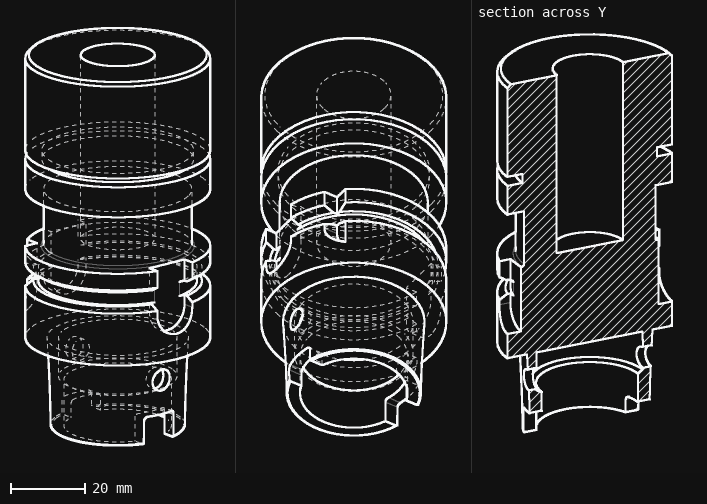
import cadquery as cq
import math


body_radius = 25.0
top_z = 80.0
rim_chamfer = 1.0
head_groove_top_z = 53.0
head_groove_bottom_z = 50.5
head_groove_radius = 20.5
head_bottom_z = 42.0
neck_radius = 20.0
neck_fillet = 0.7
bore_radius = 10.0
bore_depth = 52.0

flange_top_z = 26.0
gripper_groove_z = 18.0
gripper_groove_width = 4.0
gripper_groove_radius = 21.4
gripper_shoulder_radius = 22.75
gripper_flank_angle = 30.0

shank_length = 25.0
shank_top_radius = 19.1
shank_middle_radius = 18.45
shank_end_radius = 18.15
shank_end_chamfer = 0.3

mouth_radius = 14.5
cavity_radius = 16.0
cavity_top_z = 0.0
shoulder_top_z = -11.0
shoulder_angle = 30.0

keyway_width = 12.2
keyway_floor_x = 20.95
keyway_center_z = 13.3
notch_wall = 15.5
notch_width = 12.0
notch_center_z = 13.2

cross_hole_radius = 3.0
cross_hole_z = -7.5
slot_width = 10.3
slot_corner_radius = 1.0
left_slot_top_z = -20.2
right_slot_top_z = -17.3

clearance = 5.0


def make_body():
    """Revolve the outside outline of the head, flange and shank."""
    flank_height = (body_radius - gripper_shoulder_radius) * math.tan(math.radians(gripper_flank_angle))
    groove_top = gripper_groove_z + gripper_groove_width / 2
    groove_bottom = gripper_groove_z - gripper_groove_width / 2
    outline = (
        cq.Workplane("XZ")
        .moveTo(0, -shank_length)
        .lineTo(shank_end_radius - shank_end_chamfer, -shank_length)
        .lineTo(shank_end_radius, -shank_length + shank_end_chamfer)
        .threePointArc((shank_middle_radius, -shank_length / 2), (shank_top_radius, 0))
        .lineTo(body_radius, 0)
        .lineTo(body_radius, groove_bottom - flank_height)
        .lineTo(gripper_shoulder_radius, groove_bottom)
        .lineTo(gripper_groove_radius, groove_bottom)
        .lineTo(gripper_groove_radius, groove_top)
        .lineTo(gripper_shoulder_radius, groove_top)
        .lineTo(body_radius, groove_top + flank_height)
        .lineTo(body_radius, flange_top_z)
        .lineTo(neck_radius + neck_fillet, flange_top_z)
        .radiusArc((neck_radius, flange_top_z + neck_fillet), neck_fillet)
        .lineTo(neck_radius, head_bottom_z)
        .lineTo(body_radius, head_bottom_z)
        .lineTo(body_radius, head_groove_bottom_z)
        .lineTo(head_groove_radius, head_groove_bottom_z)
        .lineTo(head_groove_radius, head_groove_top_z)
        .lineTo(body_radius, head_groove_top_z)
        .lineTo(body_radius, top_z - rim_chamfer)
        .lineTo(body_radius - rim_chamfer, top_z)
        .lineTo(0, top_z)
        .close()
    )
    return outline.revolve(360, (0, 0, 0), (0, 1, 0))


def make_bore():
    """Blind tool bore in the head."""
    return cq.Workplane("XY").workplane(offset=top_z).circle(bore_radius).extrude(-bore_depth)


def make_cavity():
    """Hollow of the shank, wider above the clamping shoulder."""
    shoulder_height = (cavity_radius - mouth_radius) * math.tan(math.radians(shoulder_angle))
    outline = [
        (0, -shank_length),
        (mouth_radius, -shank_length),
        (mouth_radius, shoulder_top_z - shoulder_height),
        (cavity_radius, shoulder_top_z),
        (cavity_radius, cavity_top_z),
        (0, cavity_top_z),
    ]
    return cq.Workplane("XZ").polyline(outline).close().revolve(360, (0, 0, 0), (0, 1, 0))


def make_round_bottom_slot(width, center_y, center_z, start_x, length):
    """Slot along X, open at the flange top, with a full-round lower end."""
    half = width / 2
    return (
        cq.Workplane("YZ")
        .workplane(offset=start_x)
        .moveTo(center_y - half, flange_top_z + clearance)
        .lineTo(center_y - half, center_z)
        .threePointArc((center_y, center_z - half), (center_y + half, center_z))
        .lineTo(center_y + half, flange_top_z + clearance)
        .close()
        .extrude(length)
    )


def make_keyway(side):
    """Flat-floored driving keyway; side is -1 for -X and +1 for +X."""
    depth = body_radius - keyway_floor_x + clearance
    return make_round_bottom_slot(keyway_width, 0, keyway_center_z, side * keyway_floor_x, side * depth)


def make_notch():
    """Orientation notch in the -X, -Y quadrant of the flange."""
    center_y = -notch_wall - notch_width / 2
    depth = body_radius - notch_wall + clearance
    return make_round_bottom_slot(notch_width, center_y, notch_center_z, -notch_wall, -depth)


def make_cross_hole():
    """Hole through both shank walls along X."""
    return (
        cq.Workplane("YZ")
        .center(0, cross_hole_z)
        .circle(cross_hole_radius)
        .extrude(body_radius, both=True)
    )


def make_drive_slot(side, slot_top_z):
    """Open slot in the shank end, with rounded upper corners."""
    height = slot_top_z + shank_length + clearance
    return (
        cq.Workplane("XY")
        .workplane(offset=slot_top_z - height)
        .center(side * body_radius / 2, 0)
        .rect(body_radius, slot_width)
        .extrude(height)
        .edges("|X and >Z")
        .fillet(slot_corner_radius)
    )


result = make_body().cut(make_bore()).cut(make_cavity())
for side, slot_top_z in ((-1, left_slot_top_z), (1, right_slot_top_z)):
    result = result.cut(make_keyway(side)).cut(make_drive_slot(side, slot_top_z))
result = result.cut(make_notch()).cut(make_cross_hole())